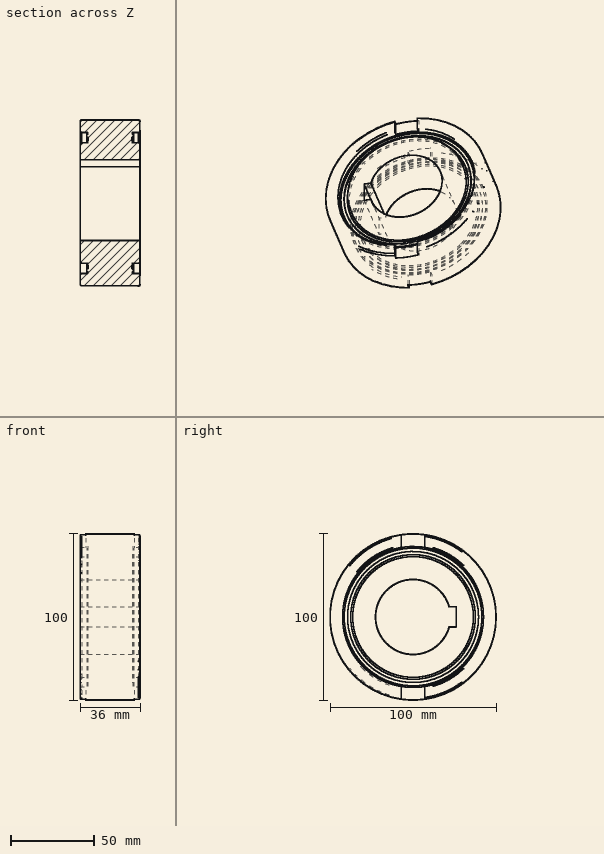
import cadquery as cq

outer_radius = 50.0
width = 36.0
edge_fillet = 1.0

recess_radius = 42.4
hub_radius = 36.3
bore_radius = 22.5

ledge_radius = 41.4
groove_outer_radius = 39.4
groove_inner_radius = 37.5
ledge_depth = 4.5
seal_depth = 3.9
groove_depth = 4.7
inner_ring_depth = 4.5

key_width = 12.0
key_reach = 25.9

slot_width = 14.0
slot_depth = 3.5


def tube(outer, inner, start, length):
    """Ring about the X axis, starting at X = start."""
    return cq.Workplane("YZ", origin=(start, 0, 0)).circle(outer).circle(inner).extrude(length)


def rounded_tube(outer, inner, rounded_radius):
    """Full-width ring with its end edges at or beyond rounded_radius filleted."""
    ring = tube(outer, inner, 0, width)
    round_edges = [
        edge for edge in ring.edges("%CIRCLE").vals()
        if edge.radius() >= rounded_radius
    ]
    return ring.newObject(round_edges).fillet(edge_fillet)


def seal_step(outer, inner, depth):
    """Seal ring recessed by depth from both faces."""
    return tube(outer, inner, depth, width - 2 * depth)


def driver_slots():
    """Two slot cutters that each cross the top and bottom of the outer ring on one face."""
    cutters = cq.Workplane()
    for face_start in (0, width - slot_depth):
        bar = cq.Workplane().box(
            slot_depth, slot_width, 2 * outer_radius, centered=(False, True, True)
        ).translate((face_start, 0, 0))
        cutters = cutters.add(bar)
    return cutters.combine()


def keyway():
    """Full-width keyway cutter reaching from the axis towards +Y."""
    return cq.Workplane().box(width, key_reach, key_width, centered=(False, False, True))


outer_ring = rounded_tube(outer_radius, recess_radius, recess_radius).cut(driver_slots())
hub = rounded_tube(hub_radius, bore_radius, hub_radius).cut(keyway())

result = (
    outer_ring
    .union(seal_step(recess_radius, ledge_radius, ledge_depth))
    .union(seal_step(ledge_radius, groove_outer_radius, seal_depth))
    .union(seal_step(groove_outer_radius, groove_inner_radius, groove_depth))
    .union(seal_step(groove_inner_radius, hub_radius, inner_ring_depth))
    .union(hub)
)